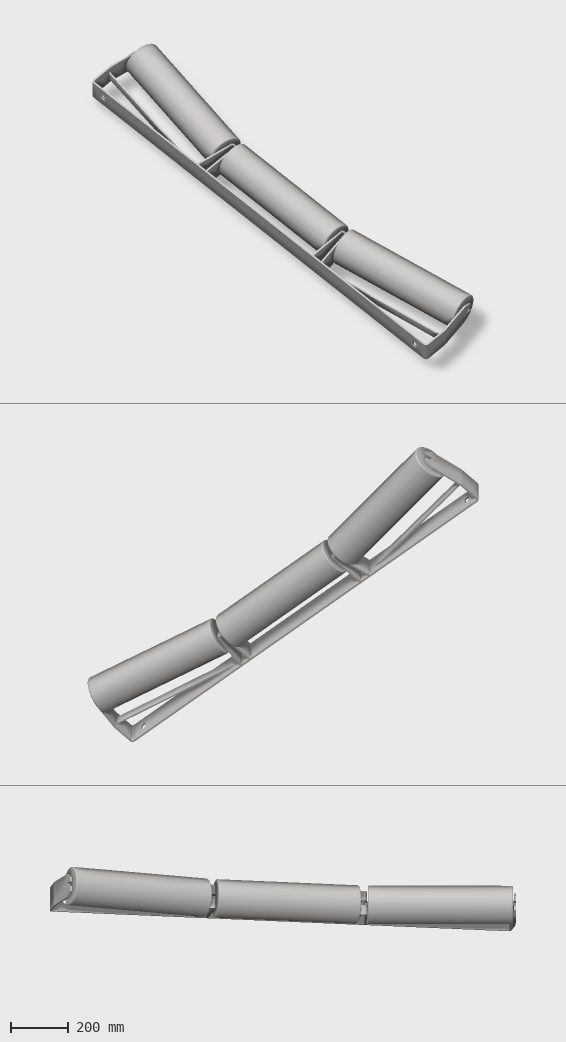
import cadquery as cq
import math


FRAME_LENGTH = 1620.0
STRIP_WIDTH = 83.0
PLATE = 6.8
BEND_RADIUS = 13.0

ROLLER_LENGTH = 500.0
ROLLER_DIAMETER = 133.0
ROLLER_EDGE_RADIUS = 5.0
END_GAP = 3.7
SHAFT_DIAMETER = 16.0
SLOT_CLEARANCE = 4.0
TILT = 10.0
CENTRE_ROLLER_Y = 125.0
SIDE_ROLLER_X = 531.0
SIDE_ROLLER_Y = 172.0

PLATE_TIP = 29.0
TIP_CHAMFER_LENGTH = 29.0
TIP_CHAMFER_WIDTH = 16.0
MOUNT_HOLE_DIAMETER = 26.0
MOUNT_HOLE_X = 752.0
MOUNT_HOLE_FLAT = 6.0

BRACKET_TOP_Y = 154.0
STRUT_WIDTH = 32.0
STRUT_THICKNESS = 6.0
STRUT_WALL_Y = 87.0
STRUT_FOOT_X = 320.0

HALF_LENGTH = FRAME_LENGTH / 2
SHAFT_RADIUS = SHAFT_DIAMETER / 2
CUT_MARGIN = PLATE
SEAT_INNER = ROLLER_LENGTH / 2 + END_GAP
SEAT_OUTER = SEAT_INNER + PLATE
COS = math.cos(math.radians(TILT))
SIN = math.sin(math.radians(TILT))


def side_point(along, across):
    """XY point of the right roller: distance outward along its axis and upward across it."""
    x = SIDE_ROLLER_X + along * COS - across * SIN
    y = SIDE_ROLLER_Y + along * SIN + across * COS
    return (x, y)


def across_at_y(along, y):
    """Distance across the right roller axis at which a plane normal to it reaches height y."""
    return (y - SIDE_ROLLER_Y - along * SIN) / COS


def across_at_x(along, x):
    """Distance across the right roller axis at which a plane normal to it reaches x."""
    return (SIDE_ROLLER_X + along * COS - x) / SIN


def place_on_side_axis(body):
    """Move a body built about the origin, with its axis on X, to the right roller."""
    return body.rotate((0, 0, 0), (0, 0, 1), TILT).translate((SIDE_ROLLER_X, SIDE_ROLLER_Y, 0))


def place_on_centre_axis(body):
    """Move a body built about the origin, with its axis on X, to the centre roller."""
    return body.translate((0, CENTRE_ROLLER_Y, 0))


def mirror_x(body):
    """Copy of a body reflected to the other side of X = 0."""
    return body.mirror("YZ")


def extrude_outline(points, width):
    """Extrude a closed XY outline symmetrically about Z = 0."""
    return cq.Workplane("XY", origin=(0, 0, -width / 2)).polyline(points).close().extrude(width)


def x_cylinder(diameter, length):
    """Cylinder on the X axis, centred on the origin."""
    return cq.Workplane("YZ", origin=(-length / 2, 0, 0)).circle(diameter / 2).extrude(length)


def make_roller():
    """Roller with a shaft stub at each end, centred on the origin and lying along X."""
    shell = x_cylinder(ROLLER_DIAMETER, ROLLER_LENGTH).edges("%CIRCLE").fillet(ROLLER_EDGE_RADIUS)
    shaft = x_cylinder(SHAFT_DIAMETER, 2 * SEAT_OUTER)
    return shell.union(shaft)


def make_shaft_slot(side):
    """Cutter for the open, round-bottomed slot at one end (side = +1 or -1) of a roller on X."""
    slot_top = ROLLER_DIAMETER / 2
    cutter = (
        cq.Workplane("YZ", origin=(ROLLER_LENGTH / 2, 0, 0))
        .moveTo(slot_top, -SHAFT_RADIUS)
        .lineTo(-SLOT_CLEARANCE, -SHAFT_RADIUS)
        .threePointArc((-SLOT_CLEARANCE - SHAFT_RADIUS, 0), (-SLOT_CLEARANCE, SHAFT_RADIUS))
        .lineTo(slot_top, SHAFT_RADIUS)
        .close()
        .extrude(END_GAP + PLATE + CUT_MARGIN)
    )
    return cutter if side > 0 else mirror_x(cutter)


def make_tip_chamfer(side):
    """Cutter that bevels one tip corner (side = +1 or -1 in Z) of the right end plate."""
    edge_z = side * STRIP_WIDTH / 2
    wedge = (
        cq.Workplane("YZ", origin=(SEAT_INNER - CUT_MARGIN, 0, 0))
        .moveTo(PLATE_TIP - TIP_CHAMFER_LENGTH, edge_z)
        .lineTo(PLATE_TIP, edge_z)
        .lineTo(PLATE_TIP, edge_z - side * TIP_CHAMFER_WIDTH)
        .close()
        .extrude(PLATE + 2 * CUT_MARGIN)
    )
    return place_on_side_axis(wedge)


def make_mount_hole():
    """D-shaped hole through the base strip, round outward and flat towards the middle."""
    radius = MOUNT_HOLE_DIAMETER / 2
    flat_half_height = math.sqrt(radius**2 - MOUNT_HOLE_FLAT**2)
    return (
        cq.Workplane("XZ", origin=(MOUNT_HOLE_X, PLATE, 0))
        .moveTo(-MOUNT_HOLE_FLAT, -flat_half_height)
        .threePointArc((radius, 0), (-MOUNT_HOLE_FLAT, flat_half_height))
        .close()
        .extrude(PLATE)
    )


def make_frame():
    """Base strip with upright ends that lean inward to carry the outer rollers."""
    inner_x = HALF_LENGTH - PLATE
    outer_half = [
        (HALF_LENGTH, 0),
        side_point(SEAT_OUTER, across_at_x(SEAT_OUTER, HALF_LENGTH)),
        side_point(SEAT_OUTER, PLATE_TIP),
    ]
    inner_half = [
        side_point(SEAT_INNER, PLATE_TIP),
        side_point(SEAT_INNER, across_at_x(SEAT_INNER, inner_x)),
        (inner_x, PLATE),
    ]
    right_half = outer_half + inner_half
    left_half = [(-x, y) for x, y in reversed(right_half)]
    frame = extrude_outline(right_half + left_half, STRIP_WIDTH)
    for x, y, radius in (
        (HALF_LENGTH, 0, BEND_RADIUS),
        (inner_x, PLATE, BEND_RADIUS - PLATE),
    ):
        for side in (1, -1):
            corner = cq.selectors.NearestToPointSelector((side * x, y, 0))
            frame = frame.edges("|Z").edges(corner).fillet(radius)

    cutters = [make_mount_hole(), place_on_side_axis(make_shaft_slot(1))]
    cutters += [make_tip_chamfer(side) for side in (1, -1)]
    for cutter in cutters:
        frame = frame.cut(cutter).cut(mirror_x(cutter))
    return frame


def make_inner_bracket():
    """Inverted U on the right: a vertical and a leaning leg joined by a bridge, with shaft slots."""
    bridge_y = BRACKET_TOP_Y - PLATE

    def leaning(along, y):
        return side_point(along, across_at_y(along, y))

    outline = [
        (SEAT_INNER, PLATE),
        (SEAT_INNER, BRACKET_TOP_Y),
        leaning(-SEAT_INNER, BRACKET_TOP_Y),
        leaning(-SEAT_INNER, PLATE),
        leaning(-SEAT_OUTER, PLATE),
        leaning(-SEAT_OUTER, bridge_y),
        (SEAT_OUTER, bridge_y),
        (SEAT_OUTER, PLATE),
    ]
    bracket = extrude_outline(outline, STRIP_WIDTH)
    for x, y in outline[1:3]:
        corner = cq.selectors.NearestToPointSelector((x, y, 0))
        bracket = bracket.edges("|Z").edges(corner).fillet(PLATE)

    centre_slot = place_on_centre_axis(make_shaft_slot(1))
    side_slot = place_on_side_axis(make_shaft_slot(-1))
    return bracket.cut(centre_slot).cut(side_slot)


def make_strut():
    """Sloping brace on the right, mitred onto the base strip and the end plate."""
    wall_x = HALF_LENGTH - PLATE
    slope = math.atan2(STRUT_WALL_Y - PLATE, wall_x - STRUT_FOOT_X)
    outline = [
        (STRUT_FOOT_X, PLATE),
        (wall_x, STRUT_WALL_Y),
        (wall_x, STRUT_WALL_Y - STRUT_THICKNESS / math.cos(slope)),
        (STRUT_FOOT_X + STRUT_THICKNESS / math.sin(slope), PLATE),
    ]
    return extrude_outline(outline, STRUT_WIDTH)


frame = make_frame()
centre_roller = place_on_centre_axis(make_roller())
right_roller = place_on_side_axis(make_roller())
right_bodies = [right_roller, make_inner_bracket(), make_strut()]

bodies = [frame, centre_roller]
for body in right_bodies:
    bodies += [body, mirror_x(body)]

result = cq.Compound.makeCompound([body.solids().val() for body in bodies])